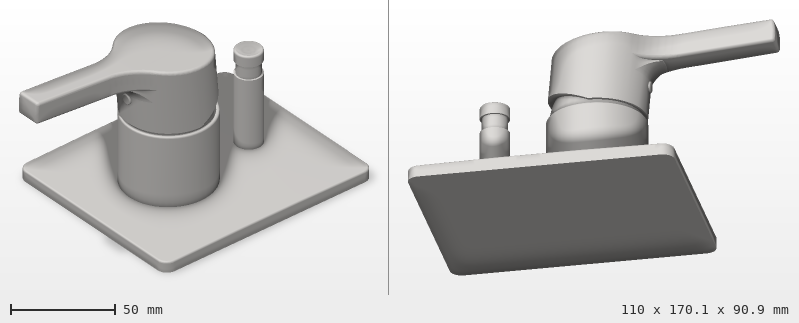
import cadquery as cq
import math


PLATE_WIDTH = 110.0
PLATE_LENGTH = 130.0
PLATE_BACK = 82.0
PLATE_TOP = 6.8
PLATE_CROWN = 0.7
PLATE_CORNER = 5.8
PLATE_EDGE = 1.0
PLATE_CENTRE_Y = PLATE_BACK - PLATE_LENGTH / 2

STEM_Y = 49.8
STEM_RADIUS = 7.3
STEM_TOP = 46.5
STEM_NECK_RADIUS = 6.3
CAP_BOTTOM = 53.9
CAP_TOP = 60.0
CAP_EDGE = 1.0
DISH_DEPTH = 1.0

BODY_RADIUS = 24.5
BODY_TOP = 46.8
BODY_EDGE = 1.0
BALL_RADIUS = 22.8

HEAD_RADIUS = 24.3
HEAD_LEAN = 5.1
HEAD_BOTTOM = 48.8
RELIEF_START_Y = -0.5
RELIEF_ANGLE = 23.3

TOP_BACK = (32.3, 79.8)
TOP_MIDDLE = (-13.3, 84.7)
TOP_TIP = (-87.2, 91.0)

BLADE_THICKNESS = 12.0
BLADE_ROOT = 39.0
BLADE_ROOT_HALF = 7.3
BLADE_TIP_HALF = 7.0
BLADE_TIP_Y = -88.1
TIP_UNDERCUT = 0.5
BLADE_EDGE = 1.5
FLARE_RADIUS = 8.5
FLARE_INSET = 3.0
FLARE_FOOT_Z = 66.3

BUTTON_RADIUS = 2.9
BUTTON_Z = 63.6
BUTTON_PROUD = 0.9
BUTTON_EDGE = 0.5

LEAN_SIN = math.sin(math.radians(HEAD_LEAN))
LEAN_COS = math.cos(math.radians(HEAD_LEAN))
LEAN_TAN = LEAN_SIN / LEAN_COS
LEAN_PLANE = cq.Plane(origin=(0, 0, HEAD_BOTTOM), xDir=(1, 0, 0), normal=(0, -LEAN_SIN, LEAN_COS))
TALL = 2 * CAP_TOP
WIDE = 2 * BODY_RADIUS


def make_plate():
    half_length = PLATE_LENGTH / 2
    side = (
        cq.Workplane("YZ")
        .moveTo(PLATE_CENTRE_Y - half_length, 0)
        .lineTo(PLATE_CENTRE_Y + half_length, 0)
        .lineTo(PLATE_CENTRE_Y + half_length, PLATE_TOP - PLATE_CROWN)
        .threePointArc((PLATE_CENTRE_Y, PLATE_TOP), (PLATE_CENTRE_Y - half_length, PLATE_TOP - PLATE_CROWN))
        .close()
        .extrude(PLATE_WIDTH / 2, both=True)
    )
    return side.edges("|Z").fillet(PLATE_CORNER).faces(">Z").edges().fillet(PLATE_EDGE)


def make_stem():
    rim = STEM_RADIUS - CAP_EDGE
    profile = (
        cq.Workplane("XZ")
        .moveTo(0, 0)
        .lineTo(STEM_RADIUS, 0)
        .lineTo(STEM_RADIUS, STEM_TOP)
        .lineTo(STEM_NECK_RADIUS, STEM_TOP)
        .lineTo(STEM_NECK_RADIUS, CAP_BOTTOM)
        .lineTo(STEM_RADIUS, CAP_BOTTOM)
        .lineTo(STEM_RADIUS, CAP_TOP - CAP_EDGE)
        .radiusArc((rim, CAP_TOP), -CAP_EDGE)
    )
    dish_radius = (rim**2 + DISH_DEPTH**2) / (2 * DISH_DEPTH)
    stem = profile.radiusArc((0, CAP_TOP - DISH_DEPTH), dish_radius).close().revolve()
    return stem.translate((0, STEM_Y, 0))


def make_body():
    barrel = cq.Workplane().circle(BODY_RADIUS).extrude(BODY_TOP).faces(">Z").edges().fillet(BODY_EDGE)
    ball = cq.Workplane().sphere(BALL_RADIUS).translate((0, 0, BODY_TOP))
    return barrel.union(ball)


def teardrop(inset=0.0):
    """Head circle running through two concave arcs into the blade, with the blade sides set in."""
    root_half = BLADE_ROOT_HALF - inset
    tip_half = BLADE_TIP_HALF - inset
    far_end = -2 * BLADE_ROOT - HEAD_RADIUS
    concave = (BLADE_ROOT**2 + root_half**2 - HEAD_RADIUS**2) / (2 * (HEAD_RADIUS - root_half))
    reach = HEAD_RADIUS / (HEAD_RADIUS + concave)
    join_x = (root_half + concave) * reach
    join_y = -BLADE_ROOT * reach
    return (
        cq.Workplane(LEAN_PLANE)
        .moveTo(join_x, join_y)
        .threePointArc((0, HEAD_RADIUS), (-join_x, join_y))
        .radiusArc((-root_half, -BLADE_ROOT), concave)
        .lineTo(-tip_half, far_end)
        .lineTo(tip_half, far_end)
        .lineTo(root_half, -BLADE_ROOT)
        .radiusArc((join_x, join_y), concave)
        .close()
        .extrude(TALL)
    )


def lowered(point, drop):
    """A (y, z) point moved straight down."""
    return (point[0], point[1] - drop)


def make_blade():
    tip_middle = (BLADE_TIP_Y, TOP_TIP[1] - BLADE_THICKNESS / 2)
    tip_bottom = (TOP_TIP[0] - TIP_UNDERCUT, TOP_TIP[1] - BLADE_THICKNESS)
    side = (
        cq.Workplane("YZ")
        .moveTo(*TOP_BACK)
        .threePointArc(TOP_MIDDLE, TOP_TIP)
        .threePointArc(tip_middle, tip_bottom)
        .threePointArc(lowered(TOP_MIDDLE, BLADE_THICKNESS), lowered(TOP_BACK, BLADE_THICKNESS))
        .close()
        .extrude(WIDE, both=True)
    )
    return teardrop().intersect(side).edges().fillet(BLADE_EDGE)


def make_head():
    lift = math.tan(math.radians(RELIEF_ANGLE)) * (RELIEF_START_Y + WIDE)
    side = (
        cq.Workplane("YZ")
        .moveTo(-WIDE, HEAD_BOTTOM)
        .lineTo(RELIEF_START_Y, HEAD_BOTTOM)
        .lineTo(WIDE, HEAD_BOTTOM + lift)
        .lineTo(*lowered(TOP_BACK, BLADE_THICKNESS / 2))
        .lineTo(*lowered(TOP_MIDDLE, BLADE_THICKNESS / 2))
        .lineTo(-WIDE, TOP_MIDDLE[1])
        .close()
        .extrude(WIDE, both=True)
    )
    column = cq.Workplane(LEAN_PLANE).circle(HEAD_RADIUS).extrude(TALL, both=True)
    return column.intersect(side)


def make_flare():
    """Concave ring around the head, kept only where it lies under the blade."""
    slope = math.radians(2 * HEAD_LEAN)
    foot_height = (FLARE_FOOT_Z - HEAD_BOTTOM + HEAD_RADIUS * LEAN_SIN) / LEAN_COS
    end_radius = HEAD_RADIUS + FLARE_RADIUS * (1 - math.sin(slope))
    end_height = foot_height + FLARE_RADIUS * math.cos(slope)
    core_radius = HEAD_RADIUS / 2
    ring = (
        cq.Workplane("XZ")
        .moveTo(core_radius, foot_height)
        .lineTo(HEAD_RADIUS, foot_height)
        .radiusArc((end_radius, end_height), FLARE_RADIUS)
        .lineTo(end_radius, end_height + BLADE_EDGE)
        .lineTo(core_radius, end_height + BLADE_EDGE)
        .close()
        .revolve()
    )
    leaning_ring = ring.rotate((0, 0, 0), (1, 0, 0), HEAD_LEAN).translate((0, 0, HEAD_BOTTOM))
    return teardrop(FLARE_INSET).intersect(leaning_ring)


def make_button():
    height = (BUTTON_Z - HEAD_BOTTOM) / LEAN_COS + HEAD_RADIUS * LEAN_TAN
    front = LEAN_PLANE.toWorldCoords((0, 0, height))
    plane = cq.Plane(origin=front, xDir=(1, 0, 0), normal=(0, -LEAN_COS, -LEAN_SIN))
    button = cq.Workplane(plane).circle(BUTTON_RADIUS).extrude(HEAD_RADIUS + BUTTON_PROUD)
    return button.faces("<Y").edges().fillet(BUTTON_EDGE)


result = make_plate()
for piece in (make_stem(), make_body(), make_head(), make_blade(), make_flare(), make_button()):
    result = result.union(piece)